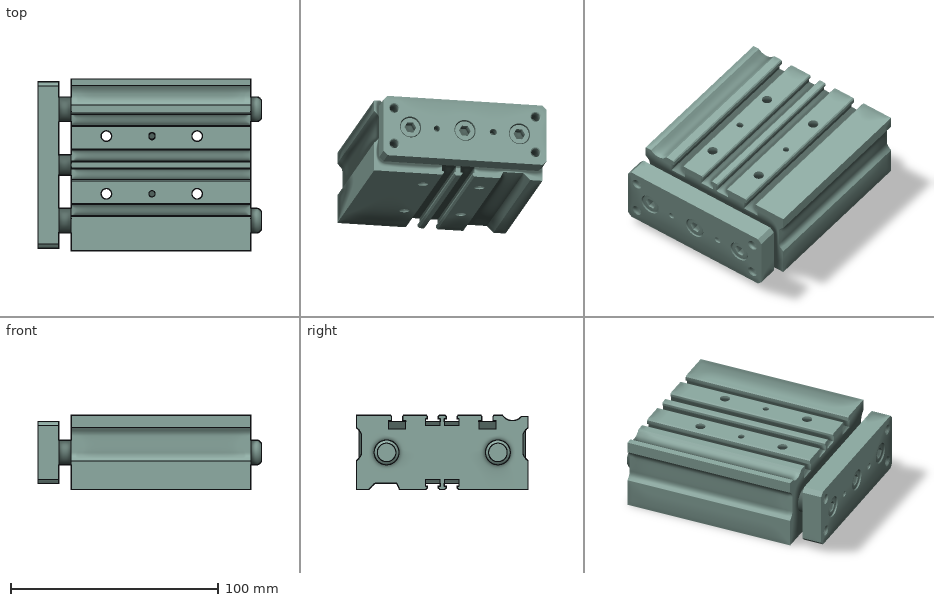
import cadquery as cq
import math


PLATE_THICK = 10.0
PLATE_WIDTH = 80.6
PLATE_HEIGHT = 30.0
PLATE_CHAMFER = 2.0
SCREW_HOLE_DIA = 4.3
SCREW_MOUTH_DIA = 5.2
SCREW_Y = 34.9
SCREW_Z = 9.0

ROD_GAP = 5.9
HOUSING_LENGTH = 86.8
HOUSING_WIDTH = 83.0
HOUSING_HEIGHT = 36.0
HOUSING_FRONT = PLATE_THICK + ROD_GAP
HOUSING_BACK = HOUSING_FRONT + HOUSING_LENGTH
HALF_WIDTH = HOUSING_WIDTH / 2
HALF_HEIGHT = HOUSING_HEIGHT / 2

T_SLOT_Y = 21.8
T_SLOT_MOUTH = 5.3
T_SLOT_WIDTH = 8.2
T_SLOT_LIP = 2.6
T_SLOT_DEPTH = 6.7

SENSOR_SLOT_Y = 4.5
SENSOR_MOUTH = 5.2
SENSOR_WIDTH = 7.0
SENSOR_LIP = 1.7
SENSOR_DEPTH = 4.9

TOP_LIP_CHAMFER = 0.5
BOTTOM_LIP_CHAMFER = 0.9

GROOVE_WALL_ANGLE = 45
GROOVE_DEPTH = 2.5
SIDE_GROOVE_Z = 4.0
SIDE_GROOVE_FLOOR = 8.3
SIDE_GROOVE_RADIUS = 3.3
TOP_GROOVE_Y = 33.9
TOP_GROOVE_FLOOR = 0.8
TOP_GROOVE_RADIUS = 5.0
TOP_EDGE_DROP = 0.5

BOTTOM_GROOVE_INNER_Y = -20.6
BOTTOM_GROOVE_OUTER_Y = -35.5
BOTTOM_GROOVE_DEPTH = 3.2
INNER_WALL_ANGLE = 65

MOUNT_HOLE_DIA = 5.0
MOUNT_HOLE_X = (33.0, 76.9)
HOLE_Y = 13.9
LOCATING_X = 55.1
LOCATING_DIA = 3.0
LOCATING_SLOT = 3.6
LOCATING_DEPTH = 6.0
LOCATING_SLOT_DEPTH = 3.0

GUIDE_DIA = 12.0
GUIDE_Y = 26.9
GUIDE_END = 108.0
GUIDE_END_ANGLE = 45
GUIDE_END_RADIUS = 2.2
GUIDE_END_CHAMFER = 0.9

PISTON_DIA = 10.0

NECK_DIA = 9.5
NECK_RECESS = 0.6
COUNTERBORE_DIA = 10.5
COUNTERBORE_DEPTH = 6.0
HEX_ACROSS_FLATS = 5.0
HEX_DEPTH = 5.0

COVER_DIA = 21.6
COVER_THICK = 10.0


def x_cylinder(dia, x_start, x_end, y=0, z=0):
    """Cylinder along X."""
    plane = cq.Plane(origin=(x_start, y, z), xDir=(0, 0, 1), normal=(1, 0, 0))
    return cq.Workplane(plane).circle(dia / 2).extrude(x_end - x_start)


def screw_hole_mouth(y, z):
    """45 degree countersink at the face of the tool plate."""
    mouth_radius = SCREW_MOUTH_DIA / 2
    hole_radius = SCREW_HOLE_DIA / 2
    depth = mouth_radius - hole_radius
    cone = cq.Solid.makeCone(mouth_radius, hole_radius, depth, cq.Vector(0, y, z), cq.Vector(1, 0, 0))
    return cq.Workplane(cone)


def locating_slot(plane):
    """Pin hole slightly lengthened along the plane's local X."""
    return cq.Workplane(plane).slot2D(LOCATING_SLOT, LOCATING_DIA).extrude(LOCATING_SLOT_DEPTH)


def section_plane(y, z, across):
    """YZ plane at the housing front: local X runs along `across`, local Y out of the surface."""
    return cq.Plane(origin=(HOUSING_FRONT, y, z), xDir=across, normal=(1, 0, 0))


def lipped_slot(plane, mouth, width, lip, depth, chamfer):
    """T-shaped slot with chamfered lips."""
    half_mouth = mouth / 2
    right_side = [
        (half_mouth + chamfer, 0),
        (half_mouth, -chamfer),
        (half_mouth, -lip),
        (width / 2, -lip),
        (width / 2, -depth),
    ]
    left_side = [(-across, out) for across, out in reversed(right_side)]
    return cq.Workplane(plane).polyline(right_side + left_side).close().extrude(HOUSING_LENGTH)


def round_groove(plane, floor, radius):
    """Groove with a flat floor, rounded corners and 45 degree walls."""
    slope = math.radians(GROOVE_WALL_ANGLE)
    half_floor = floor / 2
    arc_end = half_floor + radius * math.sin(slope)
    arc_end_out = radius * (1 - math.cos(slope)) - GROOVE_DEPTH
    arc_mid = half_floor + radius * math.sin(slope / 2)
    arc_mid_out = radius * (1 - math.cos(slope / 2)) - GROOVE_DEPTH
    mouth = arc_end - arc_end_out
    return (
        cq.Workplane(plane)
        .moveTo(-half_floor, -GROOVE_DEPTH)
        .lineTo(half_floor, -GROOVE_DEPTH)
        .threePointArc((arc_mid, arc_mid_out), (arc_end, arc_end_out))
        .lineTo(mouth, 0)
        .lineTo(-mouth, 0)
        .lineTo(-arc_end, arc_end_out)
        .threePointArc((-arc_mid, arc_mid_out), (-half_floor, -GROOVE_DEPTH))
        .close()
        .extrude(HOUSING_LENGTH)
    )


def bottom_groove():
    """Groove with one wall at 65 degrees and one at 45 degrees."""
    inner_run = BOTTOM_GROOVE_DEPTH / math.tan(math.radians(INNER_WALL_ANGLE))
    outline = [
        (BOTTOM_GROOVE_INNER_Y, -HALF_HEIGHT),
        (BOTTOM_GROOVE_INNER_Y - inner_run, BOTTOM_GROOVE_DEPTH - HALF_HEIGHT),
        (BOTTOM_GROOVE_OUTER_Y + BOTTOM_GROOVE_DEPTH, BOTTOM_GROOVE_DEPTH - HALF_HEIGHT),
        (BOTTOM_GROOVE_OUTER_Y, -HALF_HEIGHT),
    ]
    plane = section_plane(0, 0, (0, 1, 0))
    return cq.Workplane(plane).polyline(outline).close().extrude(HOUSING_LENGTH)


def lowered_edge():
    """Strip that lowers the top outside the round top groove."""
    strip_width = HALF_WIDTH - TOP_GROOVE_Y
    return (
        cq.Workplane("XY", origin=(HOUSING_FRONT, TOP_GROOVE_Y, HALF_HEIGHT - TOP_EDGE_DROP))
        .rect(HOUSING_LENGTH, strip_width, centered=False)
        .extrude(TOP_EDGE_DROP)
    )


def housing_slots():
    """All the lengthwise slots and grooves."""
    slots = [bottom_groove(), lowered_edge()]
    for side in (-1, 1):
        t_plane = section_plane(side * T_SLOT_Y, HALF_HEIGHT, (0, 1, 0))
        slots.append(
            lipped_slot(t_plane, T_SLOT_MOUTH, T_SLOT_WIDTH, T_SLOT_LIP, T_SLOT_DEPTH, TOP_LIP_CHAMFER)
        )
        for face, chamfer in ((1, TOP_LIP_CHAMFER), (-1, BOTTOM_LIP_CHAMFER)):
            plane = section_plane(side * SENSOR_SLOT_Y, face * HALF_HEIGHT, (0, face, 0))
            slots.append(
                lipped_slot(plane, SENSOR_MOUTH, SENSOR_WIDTH, SENSOR_LIP, SENSOR_DEPTH, chamfer)
            )
        side_plane = section_plane(side * HALF_WIDTH, SIDE_GROOVE_Z, (0, 0, -side))
        slots.append(round_groove(side_plane, SIDE_GROOVE_FLOOR, SIDE_GROOVE_RADIUS))
    top_plane = section_plane(TOP_GROOVE_Y, HALF_HEIGHT, (0, 1, 0))
    slots.append(round_groove(top_plane, TOP_GROOVE_FLOOR, TOP_GROOVE_RADIUS))
    return slots


def make_housing():
    """Extruded housing with bores for the guide rods, the piston rod and its cover."""
    housing = cq.Workplane("XY", origin=(HOUSING_FRONT, 0, 0)).box(
        HOUSING_LENGTH, HOUSING_WIDTH, HOUSING_HEIGHT, centered=(False, True, True)
    )
    for slot in housing_slots():
        housing = housing.cut(slot)

    mount_points = [(x, side * HOLE_Y) for x in MOUNT_HOLE_X for side in (-1, 1)]
    mount_holes = (
        cq.Workplane("XY", origin=(0, 0, -HALF_HEIGHT))
        .pushPoints(mount_points)
        .circle(MOUNT_HOLE_DIA / 2)
        .extrude(HOUSING_HEIGHT)
    )
    locating_holes = (
        cq.Workplane("XY", origin=(LOCATING_X, 0, HALF_HEIGHT - LOCATING_DEPTH))
        .pushPoints([(0, -HOLE_Y), (0, HOLE_Y)])
        .circle(LOCATING_DIA / 2)
        .extrude(LOCATING_DEPTH)
    )
    slot_origin = (LOCATING_X, HOLE_Y, HALF_HEIGHT)
    slot_plane = cq.Plane(origin=slot_origin, xDir=(0, 1, 0), normal=(0, 0, -1))
    long_hole = locating_slot(slot_plane)
    housing = housing.cut(mount_holes).cut(locating_holes).cut(long_hole)

    for side in (-1, 1):
        housing = housing.cut(x_cylinder(GUIDE_DIA, HOUSING_FRONT, HOUSING_BACK, side * GUIDE_Y))
    return housing.cut(x_cylinder(COVER_DIA, HOUSING_FRONT, HOUSING_FRONT + COVER_THICK))


def make_plate():
    """Tool plate with counterbored rod holes, four screw holes and two locating holes."""
    plate = (
        cq.Workplane("XY")
        .box(PLATE_THICK, PLATE_WIDTH, PLATE_HEIGHT, centered=(False, True, True))
        .edges("|X")
        .chamfer(PLATE_CHAMFER)
    )
    for y in (-GUIDE_Y, 0, GUIDE_Y):
        plate = plate.cut(x_cylinder(NECK_DIA, 0, PLATE_THICK, y))
        plate = plate.cut(x_cylinder(COUNTERBORE_DIA, 0, COUNTERBORE_DEPTH, y))
    for y in (-SCREW_Y, SCREW_Y):
        for z in (-SCREW_Z, SCREW_Z):
            plate = plate.cut(x_cylinder(SCREW_HOLE_DIA, 0, PLATE_THICK, y, z))
            plate = plate.cut(screw_hole_mouth(y, z))
    for side in (-1, 1):
        plate = plate.cut(x_cylinder(LOCATING_DIA, 0, LOCATING_DEPTH, side * HOLE_Y))
    slot_plane = cq.Plane(origin=(0, -HOLE_Y, 0), xDir=(0, 1, 0), normal=(1, 0, 0))
    return plate.cut(locating_slot(slot_plane))


def make_neck(y):
    """Reduced rod end in the tool plate: recessed, clear of the counterbore, with a hexagon socket."""
    plane = cq.Plane(origin=(NECK_RECESS, y, 0), xDir=(0, 1, 0), normal=(1, 0, 0))
    hex_dia = HEX_ACROSS_FLATS / math.cos(math.radians(30))
    socket = cq.Workplane(plane).polygon(6, hex_dia).extrude(HEX_DEPTH)
    return x_cylinder(NECK_DIA, NECK_RECESS, PLATE_THICK, y).cut(socket)


def make_guide_rod(y):
    """Guide rod through the housing, with a rounded and chamfered free end."""
    slope = math.radians(GUIDE_END_ANGLE)
    radius = GUIDE_DIA / 2
    arc_end_x = GUIDE_END - GUIDE_END_CHAMFER
    arc_start_x = arc_end_x - GUIDE_END_RADIUS * math.sin(slope)
    arc_mid_x = arc_start_x + GUIDE_END_RADIUS * math.sin(slope / 2)
    arc_mid_r = radius - GUIDE_END_RADIUS * (1 - math.cos(slope / 2))
    arc_end_r = radius - GUIDE_END_RADIUS * (1 - math.cos(slope))
    shaft = (
        cq.Workplane("XZ", origin=(0, y, 0))
        .moveTo(PLATE_THICK, 0)
        .lineTo(PLATE_THICK, radius)
        .lineTo(arc_start_x, radius)
        .threePointArc((arc_mid_x, arc_mid_r), (arc_end_x, arc_end_r))
        .lineTo(GUIDE_END, arc_end_r - GUIDE_END_CHAMFER)
        .lineTo(GUIDE_END, 0)
        .close()
        .revolve(360, (0, 0, 0), (1, 0, 0))
    )
    return shaft.union(make_neck(y))


def make_piston_rod():
    """Piston rod from the tool plate to the back of the cover."""
    shaft = x_cylinder(PISTON_DIA, PLATE_THICK, HOUSING_FRONT + COVER_THICK)
    return shaft.union(make_neck(0))


def make_cover():
    """Ring around the piston rod, flush with the housing front."""
    cover_back = HOUSING_FRONT + COVER_THICK
    ring = x_cylinder(COVER_DIA, HOUSING_FRONT, cover_back)
    return ring.cut(x_cylinder(PISTON_DIA, HOUSING_FRONT, cover_back))


housing = make_housing()
plate = make_plate()
piston_rod = make_piston_rod()
cover = make_cover()
guide_rods = [make_guide_rod(side * GUIDE_Y) for side in (-1, 1)]

result = cq.Compound.makeCompound(
    [housing.val(), plate.val(), piston_rod.val(), cover.val(), *[rod.val() for rod in guide_rods]]
)